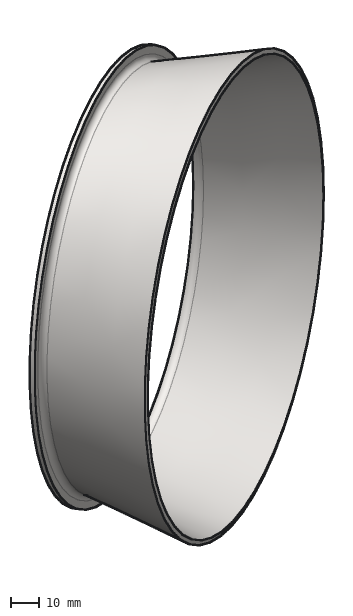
import cadquery as cq
import math

width = 46.2
cone_end_diameter = 177.7
flange_diameter = 166.2
wall = 2.0
bend_outer_radius = 4.0
cone_angle = math.radians(15)

bend_inner_radius = bend_outer_radius - wall

rim_outer = (width - wall * math.sin(cone_angle), cone_end_diameter / 2)
rim_inner = (width, rim_outer[1] - wall * math.cos(cone_angle))

bend_x = bend_outer_radius
cone_length_x = rim_outer[0] - bend_x - bend_inner_radius * math.sin(cone_angle)
cone_start_radius = rim_outer[1] - cone_length_x * math.tan(cone_angle)
bend_r = cone_start_radius + bend_inner_radius * math.cos(cone_angle)


def bend_point(radius, turn):
    """Point on a bend arc; turn runs from 0 at the flange to the cone tangency."""
    return (bend_x - radius * math.cos(turn), bend_r - radius * math.sin(turn))


full_turn = math.pi / 2 + cone_angle
half_turn = full_turn / 2

profile = (
    cq.Workplane("XY")
    .moveTo(0, flange_diameter / 2)
    .lineTo(*bend_point(bend_outer_radius, 0))
    .threePointArc(
        bend_point(bend_outer_radius, half_turn),
        bend_point(bend_outer_radius, full_turn),
    )
    .lineTo(*rim_inner)
    .lineTo(*rim_outer)
    .lineTo(*bend_point(bend_inner_radius, full_turn))
    .threePointArc(
        bend_point(bend_inner_radius, half_turn),
        bend_point(bend_inner_radius, 0),
    )
    .lineTo(wall, flange_diameter / 2)
    .close()
)

result = profile.revolve(360, (0, 0, 0), (1, 0, 0))